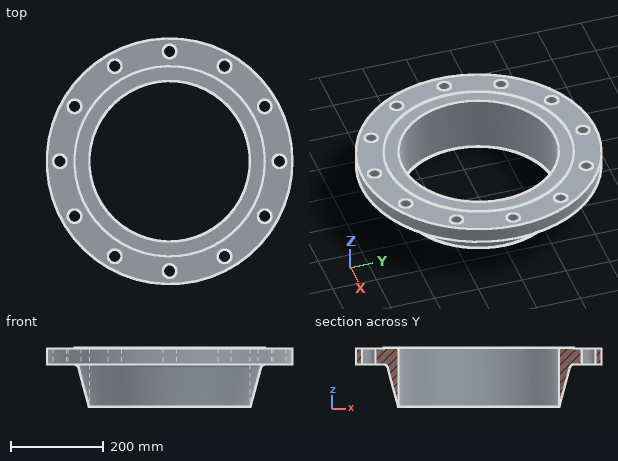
import cadquery as cq

flange_diameter = 533.5
total_height = 128.5

raised_face_diameter = 413.0
raised_face_height = 1.5
flange_thickness = 35.0

bore_diameter = 348.0
hub_diameter = 400.0
bevel_start_diameter = 356.0
neck_end_diameter = 351.5
bevel_height = 9.5
hub_fillet_radius = 9.0

bolt_count = 12
bolt_circle_diameter = 476.5
bolt_hole_diameter = 29.0

flange_top = total_height - raised_face_height
flange_bottom = flange_top - flange_thickness


def revolved_body():
    """Revolve half of the cross-section around the Z axis."""
    bore_radius = bore_diameter / 2
    neck_end_radius = neck_end_diameter / 2
    hub_radius = hub_diameter / 2
    flange_radius = flange_diameter / 2
    raised_face_radius = raised_face_diameter / 2
    return (
        cq.Workplane("XZ")
        .moveTo(bore_radius, 0)
        .lineTo(neck_end_radius, 0)
        .lineTo(bevel_start_diameter / 2, bevel_height)
        .lineTo(hub_radius, flange_bottom)
        .lineTo(flange_radius, flange_bottom)
        .lineTo(flange_radius, flange_top)
        .lineTo(raised_face_radius, flange_top)
        .lineTo(raised_face_radius, total_height)
        .lineTo(bore_radius, total_height)
        .close()
        .revolve(360, (0, 0, 0), (0, 1, 0))
    )


def bolt_holes():
    """Cylinders on the bolt circle, with the first one on the X axis."""
    return (
        cq.Workplane("XY")
        .polarArray(bolt_circle_diameter / 2, 0, 360, bolt_count)
        .circle(bolt_hole_diameter / 2)
        .extrude(total_height)
    )


def fillet_hub_root(body):
    """Round the inside corner where the hub meets the flange."""
    rim = flange_diameter / 2
    just_below = flange_bottom - hub_fillet_radius / 2
    just_above = flange_bottom + hub_fillet_radius / 2
    root_edge = cq.selectors.BoxSelector(
        (-rim, -rim, just_below), (rim, rim, just_above)
    )
    circles = body.edges(root_edge).edges("%CIRCLE")
    return circles.edges(cq.selectors.RadiusNthSelector(0)).fillet(hub_fillet_radius)


result = fillet_hub_root(revolved_body()).cut(bolt_holes())